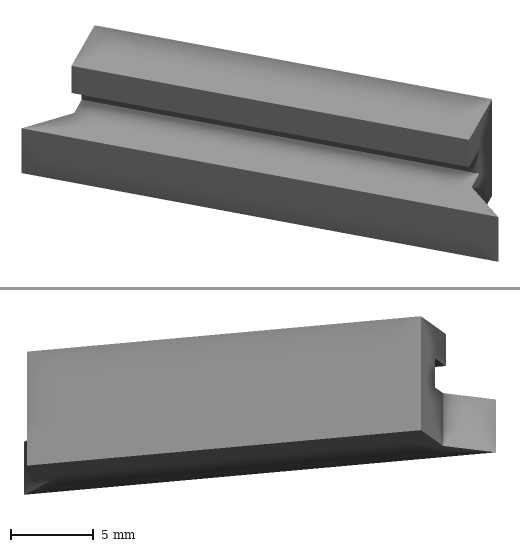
import cadquery as cq

overall_length = 30.22
overall_depth = 6.5
overall_height = 7.1

base_height = 3.3
lip_thickness = 2.0
lip_depth = 4.5
spine_thickness = 2.5

ear_size = 2.5

body_length = overall_length - 2 * ear_size
front = -overall_depth / 2
back = overall_depth / 2
spine_front = back - spine_thickness
lip_front = back - lip_depth
lip_bottom = overall_height - lip_thickness


def make_body():
    """Extrude the (Y, Z) channel section symmetrically along X."""
    section = [
        (front, 0),
        (back, 0),
        (back, overall_height),
        (lip_front, overall_height),
        (lip_front, lip_bottom),
        (spine_front, lip_bottom),
        (spine_front, base_height),
        (front, base_height),
    ]
    return cq.Workplane("YZ").polyline(section).close().extrude(body_length / 2, both=True)


def make_ear(side):
    """Right-triangular prism on the end at side = -1 or +1 along X."""
    root = side * body_length / 2
    tip = side * overall_length / 2
    outline = [(root, front), (tip, front), (root, front + ear_size)]
    return cq.Workplane("XY").polyline(outline).close().extrude(base_height)


result = make_body()
for side in (-1, 1):
    result = result.union(make_ear(side))